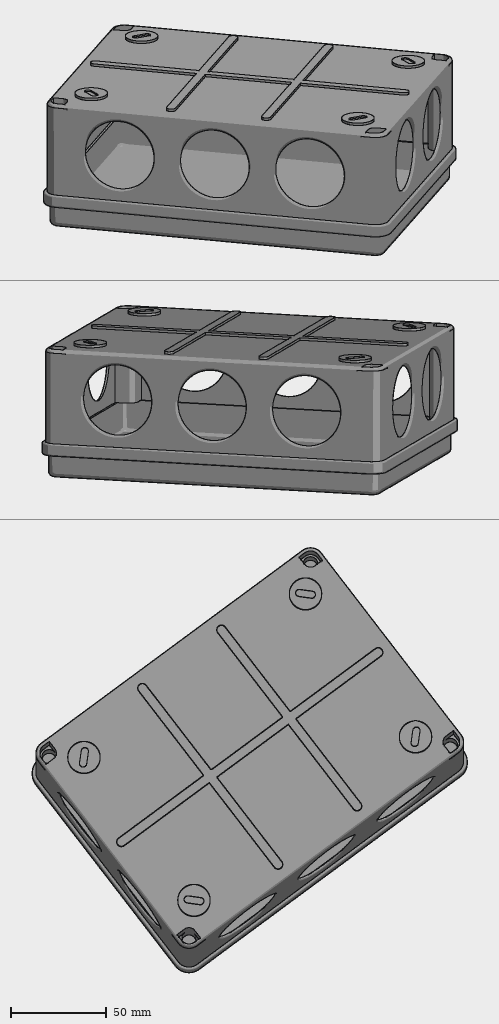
import cadquery as cq

LENGTH = 190.0
WIDTH = 140.0
HEIGHT = 70.0
CORNER_X = 86.0
CORNER_Y = CORNER_X - (LENGTH - WIDTH) / 2

RIM_TOP = 18.5
RIM_BOTTOM = 12.0
RIM_ROUND = 1.0
NECK_ROUND = 1.1
TRAY_INSET = 3.5
TRAY_ROUND = 2.7
TRAY_WALL = 1.5
TRAY_FLOOR = 1.5
TRAY_INNER_ROUND = 1.9

BOX_INSET = 1.9
BOX_WALL = 1.7
BOX_ROUND = 2.0
RELIEF = 1.3
BOX_TOP = HEIGHT - RELIEF
TOP_THICKNESS = 1.7

ENTRY_Z = 43.5
ENTRY_RADIUS = 18.8
ENTRY_ROUND = 1.5
ENTRY_PITCH = 52.0

RIB_WIDTH = 5.0
LONG_RIB = 174.0
SHORT_RIB = 123.5
PAD_RADIUS = 8.5
PAD_X = 73.0
PAD_Y = 48.0
SLOT_WIDTH = 3.8
SLOT_LENGTH = 10.5
SLOT_DEPTH = 0.8

SCREW_RADIUS = 3.8
POCKET_DEPTH = 9.5
SCREW_HOLE_DEPTH = 19.0
PILLAR_WALL = 1.9

SIGNS = (-1, 1)
CORNERS = [(sx, sy) for sx in SIGNS for sy in SIGNS]


def rounded_block(inset, bottom, top):
    """Block inset from the overall outline, with its corners about the shared axes."""
    radius = LENGTH / 2 - CORNER_X - inset
    block = cq.Workplane("XY", origin=(0, 0, bottom))
    block = block.rect(LENGTH - 2 * inset, WIDTH - 2 * inset).extrude(top - bottom)
    return block.edges("|Z").fillet(radius)


def corner_column(sx, sy, radius, bottom, top):
    """Column reaching out of a corner, with its inward edge rounded about the corner axis."""
    reach = LENGTH / 2 - CORNER_X
    side = reach + radius
    column = (
        cq.Workplane("XY", origin=(0, 0, bottom))
        .center(sx * (CORNER_X + reach - side / 2), sy * (CORNER_Y + reach - side / 2))
        .rect(side, side)
        .extrude(top - bottom)
    )
    inward_x = "<X" if sx > 0 else ">X"
    inward_y = "<Y" if sy > 0 else ">Y"
    return column.edges("|Z").edges(inward_x).edges(inward_y).fillet(radius)


def neck_edges():
    """Selector for the edges where the tray wall meets the underside of the rim."""
    margin = 0.2
    half_x = LENGTH / 2 - TRAY_INSET + margin
    half_y = WIDTH / 2 - TRAY_INSET + margin
    low = (-half_x, -half_y, RIM_BOTTOM - margin)
    high = (half_x, half_y, RIM_BOTTOM + margin)
    return cq.selectors.BoxSelector(low, high, boundingbox=True)


def make_tray():
    shell = rounded_block(TRAY_INSET, 0, RIM_BOTTOM).faces("<Z").edges().fillet(TRAY_ROUND)
    rim = rounded_block(0, RIM_BOTTOM, RIM_TOP).faces("<Z or >Z").edges().fillet(RIM_ROUND)
    tray = shell.union(rim)
    tray = tray.edges(neck_edges()).fillet(NECK_ROUND)
    cavity = rounded_block(TRAY_INSET + TRAY_WALL, TRAY_FLOOR, RIM_TOP)
    cavity = cavity.faces("<Z").edges().fillet(TRAY_INNER_ROUND)
    return tray.cut(cavity)


def flared_cutter(face):
    """Cutter along +Z for one entry, flaring out in a quarter round to meet a wall face."""
    start = face - BOX_WALL - ENTRY_ROUND
    mouth = ENTRY_RADIUS + ENTRY_ROUND
    return (
        cq.Workplane("XZ")
        .moveTo(0, start)
        .lineTo(ENTRY_RADIUS, start)
        .lineTo(ENTRY_RADIUS, face - ENTRY_ROUND)
        .radiusArc((mouth, face), ENTRY_ROUND)
        .lineTo(0, face)
        .close()
        .revolve(360, (0, 0, 0), (0, 1, 0))
    )


def cut_entries(box):
    """Cut the rows of rounded-edged entries through all four walls."""
    along_x = [-ENTRY_PITCH, 0, ENTRY_PITCH]
    along_y = [-ENTRY_PITCH / 2, ENTRY_PITCH / 2]
    long_wall_cutter = flared_cutter(WIDTH / 2 - BOX_INSET)
    end_wall_cutter = flared_cutter(LENGTH / 2 - BOX_INSET)
    for side in SIGNS:
        toward_y = long_wall_cutter.rotate((0, 0, 0), (1, 0, 0), 90 * side)
        for x in along_x:
            box = box.cut(toward_y.translate((x, 0, ENTRY_Z)))
        toward_x = end_wall_cutter.rotate((0, 0, 0), (0, 1, 0), 90 * side)
        for y in along_y:
            box = box.cut(toward_x.translate((0, y, ENTRY_Z)))
    return box


def add_screw_pockets(box):
    """Fill the corners with pillars and sink a pocket and a screw hole into each."""
    inside_walls = rounded_block(BOX_INSET, RIM_TOP, BOX_TOP - TOP_THICKNESS)
    inside_round = rounded_block(BOX_INSET + BOX_ROUND, RIM_TOP, BOX_TOP)
    for sx, sy in CORNERS:
        pillar = corner_column(sx, sy, SCREW_RADIUS + PILLAR_WALL, RIM_TOP, BOX_TOP)
        box = box.union(pillar.intersect(inside_walls))
        pocket = corner_column(sx, sy, SCREW_RADIUS, BOX_TOP - POCKET_DEPTH, BOX_TOP)
        box = box.cut(pocket.intersect(inside_round))
        hole = (
            cq.Workplane("XY", origin=(sx * CORNER_X, sy * CORNER_Y, BOX_TOP))
            .circle(SCREW_RADIUS)
            .extrude(-SCREW_HOLE_DEPTH)
        )
        box = box.cut(hole)
    return box


def add_relief(box):
    """Add the crossing ribs and the slotted pads on the top face."""
    top = cq.Workplane("XY", origin=(0, 0, BOX_TOP))
    ribs = top.slot2D(LONG_RIB, RIB_WIDTH).extrude(RELIEF)
    for side in SIGNS:
        cross_rib = top.center(side * ENTRY_PITCH / 2, 0).slot2D(SHORT_RIB, RIB_WIDTH, 90)
        ribs = ribs.union(cross_rib.extrude(RELIEF))
    box = box.union(ribs)
    for sx, sy in CORNERS:
        pad = top.center(sx * PAD_X, sy * PAD_Y).circle(PAD_RADIUS).extrude(RELIEF)
        slot = cq.Workplane("XY", origin=(sx * PAD_X, sy * PAD_Y, HEIGHT))
        slot = slot.slot2D(SLOT_LENGTH, SLOT_WIDTH, -45 * sx * sy).extrude(-SLOT_DEPTH)
        box = box.union(pad).cut(slot)
    return box


def make_box():
    box = rounded_block(BOX_INSET, RIM_TOP, BOX_TOP).faces(">Z").edges().fillet(BOX_ROUND)
    box = box.cut(rounded_block(BOX_INSET + BOX_WALL, RIM_TOP, BOX_TOP - TOP_THICKNESS))
    box = cut_entries(box)
    box = add_screw_pockets(box)
    return add_relief(box)


tray = make_tray()
box = make_box()

result = cq.Compound.makeCompound([tray.val(), box.val()])